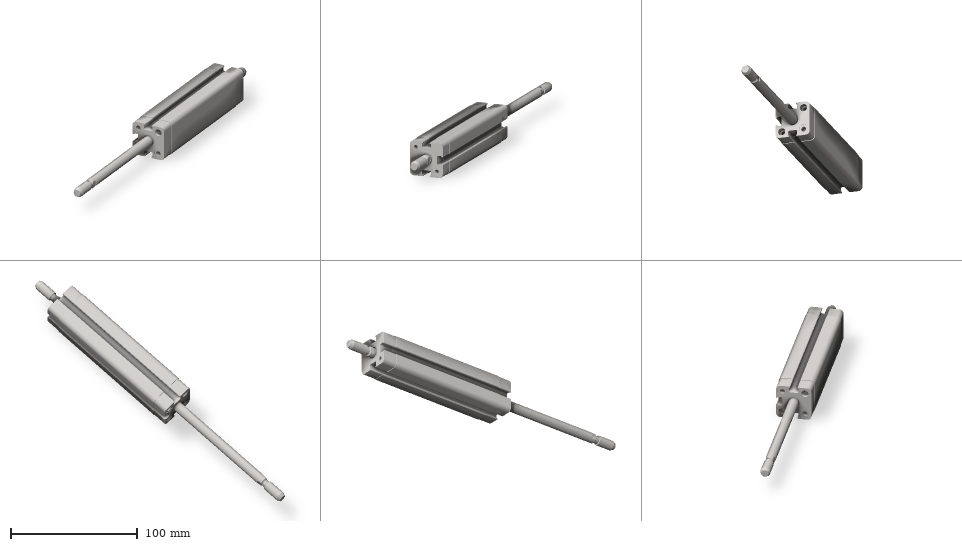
import cadquery as cq

total_length = 267.0
rear_rod_length = 24.5
housing_length = 128.0
cap_length = 12.0
rear_tip_y = total_length / 2
front_tip_y = -total_length / 2
housing_rear_y = rear_tip_y - rear_rod_length
housing_front_y = housing_rear_y - housing_length

body_width = 29.0
cap_width = 28.3
corner_centre = 11.0

slot_mouth_width = 6.0
slot_mouth_chamfer = 0.4
slot_inner_width = 7.7
body_slot_floor = 9.3
cap_slot_floor = 9.0
slot_lip_underside = 13.0
slot_floor_chamfer = 0.5

rod_diameter = 8.0
gland_diameter = 9.5
gland_depth = 1.3
tip_diameter = 6.0
tip_chamfer_length = 2.7
thread_length = 16.3
groove_diameter = 6.0
groove_length = 3.2
shoulder_length = 1.0
flat_spacing = 6.1
flat_end_radius = 3.5
flat_end = 24.3

screw_offset = 9.0
head_diameter = 7.5
head_recess_depth = 0.3
socket_diameter = 4.0
socket_depth = 4.0
counterbore_diameter = 6.0
counterbore_depth = 4.0
through_diameter = 3.2


def y_cylinder(diameter, start_y, end_y, x=0.0, z=0.0):
    """Cylinder parallel to Y between two stations."""
    start = cq.Vector(x, start_y, z)
    direction = cq.Vector(0, end_y - start_y, 0)
    return cq.Workplane(cq.Solid.makeCylinder(diameter / 2, abs(end_y - start_y), start, direction))


def t_slot(width, floor, start_y, length):
    """Cutter for the top slot of a square bar of the given width."""
    mouth = slot_mouth_width / 2
    inner = slot_inner_width / 2
    face = width / 2
    right_side = [
        (inner - slot_floor_chamfer, floor),
        (inner, floor + slot_floor_chamfer),
        (inner, slot_lip_underside),
        (mouth, slot_lip_underside),
        (mouth, face - slot_mouth_chamfer),
        (mouth + slot_mouth_chamfer, face),
    ]
    left_side = [(-x, z) for x, z in reversed(right_side)]
    section = cq.Workplane("XZ", origin=(0, start_y + length, 0)).polyline(right_side + left_side).close()
    return section.extrude(length)


def slotted_bar(width, floor, start_y, length):
    """Square bar running toward +Y, with rounded long edges and slots on three faces."""
    bar = cq.Workplane("XY").box(width, length, width).edges("|Y").fillet(width / 2 - corner_centre)
    bar = bar.translate((0, start_y + length / 2, 0))
    slot = t_slot(width, floor, start_y, length)
    for angle in (0, 180, -90):
        bar = bar.cut(slot.rotate((0, 0, 0), (0, 1, 0), angle))
    return bar


def housing():
    """Slotted body between two slightly narrower end caps, each with a gland recess around the rod."""
    body_length = housing_length - 2 * cap_length
    shape = slotted_bar(body_width, body_slot_floor, housing_front_y + cap_length, body_length)
    for cap_start_y in (housing_front_y, housing_rear_y - cap_length):
        shape = shape.union(slotted_bar(cap_width, cap_slot_floor, cap_start_y, cap_length))
    for face_y, inward in ((housing_front_y, 1), (housing_rear_y, -1)):
        shape = shape.cut(y_cylinder(gland_diameter, face_y, face_y + inward * gland_depth))
    return shape


def cut_screw_recesses(shape):
    """Socket screws in one diagonal pair of corners, counterbored through holes in the other."""
    head_floor_y = housing_front_y + head_recess_depth
    counterbore_floor_y = housing_front_y + counterbore_depth
    for side in (1, -1):
        x = side * screw_offset
        head_z = -x
        hole_z = x
        shape = shape.cut(y_cylinder(head_diameter, housing_front_y, head_floor_y, x, head_z))
        shape = shape.cut(y_cylinder(socket_diameter, head_floor_y, head_floor_y + socket_depth, x, head_z))
        shape = shape.cut(y_cylinder(counterbore_diameter, housing_front_y, counterbore_floor_y, x, hole_z))
        shape = shape.cut(y_cylinder(through_diameter, housing_front_y, housing_rear_y, x, hole_z))
    return shape


def rod():
    """Through rod with a chamfered tip, relief groove and wrench flats on both sides at each end."""
    rod_radius = rod_diameter / 2
    groove_end = thread_length + groove_length
    front_half = [
        (0, front_tip_y),
        (tip_diameter / 2, front_tip_y),
        (rod_radius, front_tip_y + tip_chamfer_length),
        (rod_radius, front_tip_y + thread_length),
        (groove_diameter / 2, front_tip_y + thread_length),
        (groove_diameter / 2, front_tip_y + groove_end),
        (rod_radius, front_tip_y + groove_end + shoulder_length),
    ]
    rear_half = [(r, -y) for r, y in reversed(front_half)]
    shape = cq.Workplane("XY").polyline(front_half + rear_half).close().revolve(360, (0, 0, 0), (0, 1, 0))

    for end in (1, -1):
        flat_centre_y = end * (rear_tip_y - flat_end + flat_end_radius)
        for side in (1, -1):
            start = cq.Vector(side * flat_spacing / 2, flat_centre_y, 0)
            cutter = cq.Solid.makeCylinder(flat_end_radius, rod_radius, start, cq.Vector(side, 0, 0))
            shape = shape.cut(cq.Workplane(cutter))
    return shape


result = cut_screw_recesses(housing()).union(rod())